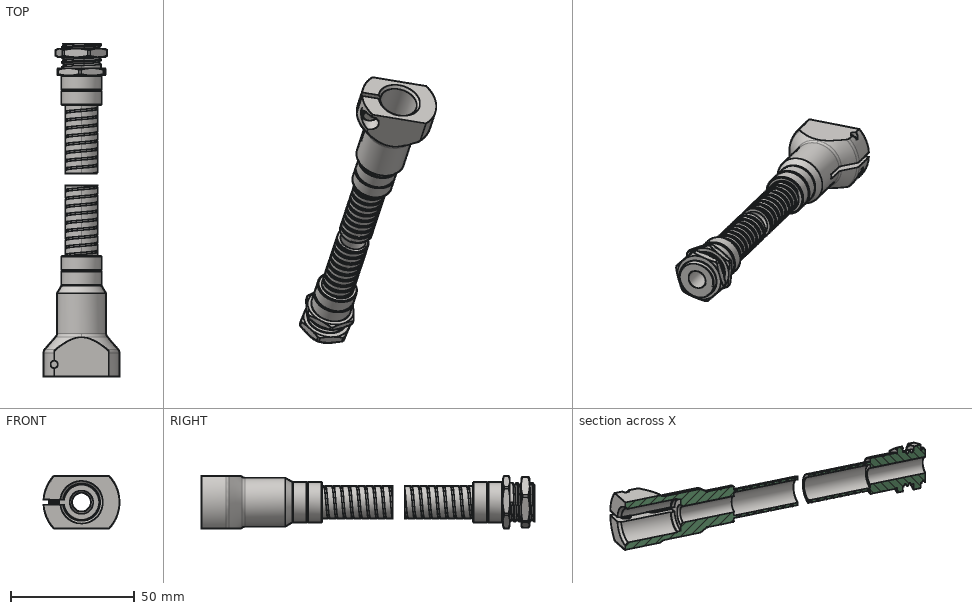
import cadquery as cq
import math

TOTAL_LENGTH = 135.0

CUT_CLEARANCE = 0.1

HOSE_RADIUS = 6.6
HOSE_BORE_RADIUS = 5.3
GROOVE_TURNS = 10
GROOVE_LENGTH = 32.8
GROOVE_PITCH = GROOVE_LENGTH / GROOVE_TURNS
HOSE_GROOVE_WIDTH = 0.8
HOSE_GROOVE_DEPTH = 0.4
COLLAR_RADIUS = 8.2
COLLAR_LENGTH = 12.2
COLLAR_RING_COUNT = 2
COLLAR_CHAMFER = 0.4
NECK_RADIUS = 3.8

CLAMP_RADIUS = 30.9 / 2
CLAMP_HEIGHT = 21.5
CLAMP_SHOULDER_Y = 10.5
BARREL_RADIUS = 10.0
BARREL_START_Y = 16.9
SHOULDER_FILLET = 2.0
BARREL_TAPER_Y = 33.9
BARREL_END_Y = 36.9
CLAMP_HOSE_END_Y = 77.6
CLAMP_GROOVE_START_Y = 47.5

SOCKET_RADIUS = 7.5
SOCKET_STEP_RADIUS = 7.2
SOCKET_STEP_Y = 23.4
SOCKET_MOUTH_RADIUS = 8.6
SOCKET_MOUTH_DEPTH = 1.2
NECK_MOUTH_RADIUS = 4.7
SLOT_WIDTH = 2.0
SLOT_LENGTH = 25.0
SOCKET_DEPTH = SLOT_LENGTH

SCREW_X = -11.1
SCREW_Y = 5.0
SCREW_RADIUS = 2.2
SCREW_ROOT_RADIUS = 1.9
SCREW_RIDGE_COUNT = 3
SCREW_HEAD_RADIUS = 3.2
SCREW_HEAD_BOTTOM_Z = -6.6
SCREW_HEAD_CHAMFER = 0.5
HEAD_POCKET_RADIUS = 3.6
HEAD_POCKET_TOP_Z = -4.0
TIP_HOLE_RADIUS = 1.5
TIP_HOLE_FLOOR_Z = 8.6

GLAND_HOSE_END_Y = 82.4
GLAND_GROOVE_START_Y = 79.2
HEX_RADIUS = CLAMP_HEIGHT / 2
HEX_CHAMFER_RADIUS = 9.6
HEX_CHAMFER_LENGTH = 0.5
HEX_CORNER_TRIM = 0.3
FLANGE_START_Y = 122.2
FLANGE_END_Y = 125.0
FLANGE_TURN = -3.0
NUT_START_Y = 129.6
NUT_END_Y = 133.0
NUT_TURN = 16.5
THREAD_RADIUS = 8.0
THREAD_ROOT_RADIUS = 6.9
THREAD_PITCH = 2.0
THREAD_GROOVE_WIDTH = 1.82
THREAD_START_Y = 125.4

COLLAR_TOP_Y = BARREL_END_Y + COLLAR_LENGTH
GLAND_COLLAR_Y = FLANGE_START_Y - COLLAR_LENGTH


def turned(outline):
    """Solid of revolution about the Y axis from a closed outline in the YZ plane."""
    return outline.close().revolve(360, (0, 0, 0), (1, 0, 0))


def cone(start_radius, end_radius, start_y, end_y):
    """Truncated cone on the Y axis from start_y to end_y."""
    outline = [(start_y, 0), (start_y, start_radius), (end_y, end_radius), (end_y, 0)]
    return turned(cq.Workplane("YZ").polyline(outline))


def rod(radius, start_y, end_y):
    """Cylinder on the Y axis from start_y to end_y."""
    return cone(radius, radius, start_y, end_y)


def cut_helix(body, profile, pitch, start_y, end_y):
    """Cut a right-hand helical groove, turn by turn, with a closed profile of (radius, height) points.

    The groove crosses the +X side at start_y and runs on past end_y.
    """
    path = cq.Wire.makeHelix(pitch, pitch, profile[0][0])
    turn = cq.Workplane("XZ").polyline(profile).close().sweep(cq.Workplane(path), isFrenet=True)
    turn = turn.rotate((0, 0, 0), (1, 0, 0), -90)
    turn_count = math.ceil((end_y - start_y) / pitch) + 1
    for i in range(turn_count):
        body = body.cut(turn.translate((0, start_y + i * pitch, 0)))
    return body


def hose(start_y, end_y, groove_start_y):
    """Hose length with a shallow square groove wound around it."""
    clearance_radius = HOSE_RADIUS + CUT_CLEARANCE
    root = HOSE_RADIUS - HOSE_GROOVE_DEPTH
    half = HOSE_GROOVE_WIDTH / 2
    profile = [(root, -half), (clearance_radius, -half), (clearance_radius, half), (root, half)]
    return cut_helix(rod(HOSE_RADIUS, start_y, end_y), profile, GROOVE_PITCH, groove_start_y, end_y)


def collar(start_y):
    """Crimp collar: a row of rings with chamfered ends that meet in narrow V grooves."""
    ring_length = COLLAR_LENGTH / COLLAR_RING_COUNT
    ring = rod(COLLAR_RADIUS, start_y, start_y + ring_length).edges("%CIRCLE").chamfer(COLLAR_CHAMFER)
    rings = ring
    for i in range(1, COLLAR_RING_COUNT):
        rings = rings.union(ring.translate((0, i * ring_length, 0)))
    return rings


def clamp_shell():
    """Turned clamp and barrel, flattened above and below."""
    shell = turned(
        cq.Workplane("YZ")
        .lineTo(0, CLAMP_RADIUS)
        .lineTo(CLAMP_SHOULDER_Y, CLAMP_RADIUS)
        .lineTo(BARREL_START_Y, BARREL_RADIUS)
        .lineTo(BARREL_TAPER_Y, BARREL_RADIUS)
        .lineTo(BARREL_END_Y, COLLAR_RADIUS)
        .lineTo(BARREL_END_Y, 0)
    )
    reach = CLAMP_RADIUS + CUT_CLEARANCE
    rims = cq.selectors.BoxSelector(
        (-reach, CLAMP_SHOULDER_Y - CUT_CLEARANCE, -reach),
        (reach, BARREL_START_Y + CUT_CLEARANCE, reach),
        boundingbox=True,
    )
    shell = shell.edges("%CIRCLE").edges(rims).fillet(SHOULDER_FILLET)
    flats = cq.Workplane("XY").box(2 * reach, 2 * TOTAL_LENGTH, CLAMP_HEIGHT)
    return shell.intersect(flats)


def clamp_socket():
    """Stepped bore from the clamp face to the hose."""
    neck_y = SOCKET_DEPTH + NECK_MOUTH_RADIUS - NECK_RADIUS
    socket = rod(SOCKET_RADIUS, 0, SOCKET_STEP_Y).union(rod(SOCKET_STEP_RADIUS, 0, SOCKET_DEPTH))
    mouth = cone(SOCKET_MOUTH_RADIUS, SOCKET_RADIUS, 0, SOCKET_MOUTH_DEPTH)
    countersink = cone(NECK_MOUTH_RADIUS, NECK_RADIUS, SOCKET_DEPTH, neck_y)
    neck = rod(NECK_RADIUS, SOCKET_DEPTH, COLLAR_TOP_Y)
    hose_bore = rod(HOSE_BORE_RADIUS, COLLAR_TOP_Y, CLAMP_HOSE_END_Y)
    return socket.union(mouth).union(countersink).union(neck).union(hose_bore)


def screw_cylinder(radius, bottom_z, top_z):
    """Cylinder on the clamping screw's axis."""
    base = cq.Workplane("XY", origin=(SCREW_X, SCREW_Y, bottom_z))
    return base.circle(radius).extrude(top_z - bottom_z)


def screw_shank():
    """Stretch of the screw that crosses the slot, ringed with thread ridges."""
    half_slot = SLOT_WIDTH / 2
    ridge_pitch = SLOT_WIDTH / SCREW_RIDGE_COUNT
    ridge_width = ridge_pitch / 2
    first_ridge_z = -half_slot + (ridge_pitch - ridge_width) / 2
    shank = screw_cylinder(SCREW_ROOT_RADIUS, -half_slot, half_slot)
    for i in range(SCREW_RIDGE_COUNT):
        ridge_z = first_ridge_z + i * ridge_pitch
        shank = shank.union(screw_cylinder(SCREW_RADIUS, ridge_z, ridge_z + ridge_width))
    return shank


def clamp_body():
    """Slotted clamp with its screw, barrel, collar and hose as one solid."""
    body = clamp_shell().union(collar(BARREL_END_Y))
    body = body.union(hose(COLLAR_TOP_Y, CLAMP_HOSE_END_Y, CLAMP_GROOVE_START_Y))
    body = body.cut(clamp_socket())
    slot = cq.Workplane("XY").box(CLAMP_RADIUS, SLOT_LENGTH, SLOT_WIDTH, centered=(False, False, True))
    body = body.cut(slot.translate((-CLAMP_RADIUS, 0, 0)))
    half_height = CLAMP_HEIGHT / 2
    body = body.cut(screw_cylinder(HEAD_POCKET_RADIUS, -half_height, HEAD_POCKET_TOP_Z))
    body = body.cut(screw_cylinder(TIP_HOLE_RADIUS, TIP_HOLE_FLOOR_Z, half_height))
    head = screw_cylinder(SCREW_HEAD_RADIUS, SCREW_HEAD_BOTTOM_Z, HEAD_POCKET_TOP_Z)
    head = head.faces("<Z").chamfer(SCREW_HEAD_CHAMFER)
    return body.union(screw_shank()).union(head)


def hexagon(start_y, end_y, turn):
    """Hexagon with trimmed corners and chamfered ends; turn is degrees from +Z towards +X."""
    corner_radius = HEX_RADIUS + HEX_CORNER_TRIM
    prism = cq.Workplane("XZ", origin=(0, start_y, 0)).polygon(6, 2 * corner_radius)
    prism = prism.extrude(start_y - end_y).rotate((0, 0, 0), (0, 1, 0), turn - 90)
    envelope = turned(
        cq.Workplane("YZ")
        .moveTo(start_y, 0)
        .lineTo(start_y, HEX_CHAMFER_RADIUS)
        .lineTo(start_y + HEX_CHAMFER_LENGTH, HEX_RADIUS)
        .lineTo(end_y - HEX_CHAMFER_LENGTH, HEX_RADIUS)
        .lineTo(end_y, HEX_CHAMFER_RADIUS)
        .lineTo(end_y, 0)
    )
    return prism.intersect(envelope)


def threaded_stem():
    """Stem with a V thread cut through to its free end."""
    crest_radius = THREAD_RADIUS + CUT_CLEARANCE
    half = THREAD_GROOVE_WIDTH / 2
    profile = [
        (THREAD_ROOT_RADIUS, 0),
        (crest_radius, -half),
        (crest_radius, half),
    ]
    stem = rod(THREAD_RADIUS, FLANGE_END_Y, TOTAL_LENGTH)
    return cut_helix(stem, profile, THREAD_PITCH, THREAD_START_Y, TOTAL_LENGTH)


def gland_body():
    """Hose, collar, hexagonal flange, threaded stem and nut as one solid."""
    body = hose(GLAND_HOSE_END_Y, GLAND_COLLAR_Y, GLAND_GROOVE_START_Y)
    body = body.union(collar(GLAND_COLLAR_Y))
    body = body.union(hexagon(FLANGE_START_Y, FLANGE_END_Y, FLANGE_TURN))
    body = body.union(threaded_stem())
    body = body.union(hexagon(NUT_START_Y, NUT_END_Y, NUT_TURN))
    body = body.cut(rod(HOSE_BORE_RADIUS, GLAND_HOSE_END_Y, GLAND_COLLAR_Y))
    return body.cut(rod(NECK_RADIUS, GLAND_COLLAR_Y, TOTAL_LENGTH))


result = cq.Compound.makeCompound([clamp_body().val(), gland_body().val()])